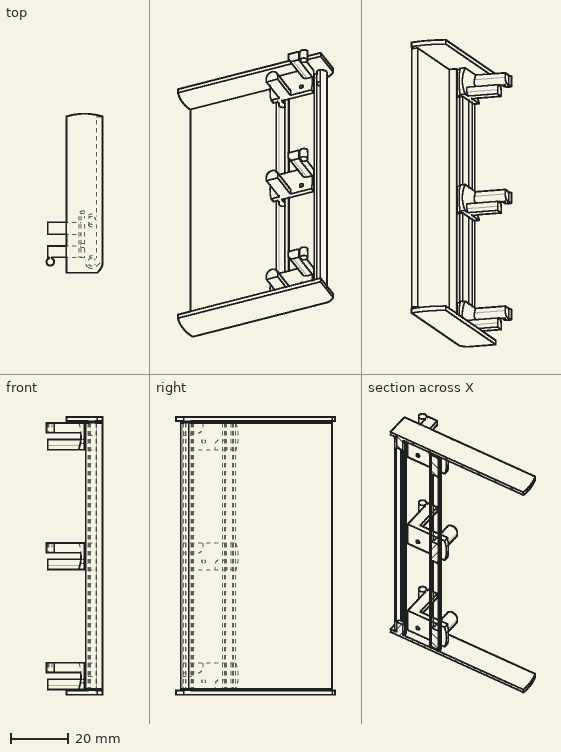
import cadquery as cq
import math

TOTAL_HEIGHT = 97.4
CAP_THICKNESS = 1.6
CAP_GAP = 0.6

CAP_LEFT = 7.0
RIGHT = 19.7
CAP_DEPTH = 55.8
CAP_CROWN = 1.0
CAP_CORNER_X = 1.9
CAP_CORNER_Y = 2.8
CAP_CORNER_RADIUS = 6.7
CAP_PIN_LENGTH = 5.0

PANEL_FACE = 17.4
PANEL_END = 54.7
PIN_RADIUS = 1.4
BARREL_RADIUS = 2.2
BARREL_X = PANEL_FACE - BARREL_RADIUS * math.sqrt(0.5)
HINGE_Y = 3.9
RAIL_Y = 18.5
HINGE_LIP_ANGLES = (-18, 69)
RAIL_LIP_ANGLES = (-66, 66)

BRACKET_COUNT = 3
BRACKET_PITCH = 42.0
BRACKET_HEIGHT = 9.4
BASE_BACK = 13.2
BASE_EDGE = 11.3
BASE_HOLLOW = 0.8
BASE_START = 5.5
BASE_END = 20.9
BASE_BULGE = 0.8
ARM_TIP = 0.4
ARM_WIDTH = 4.0
ARM_HEIGHT = 3.5
ARM_FILLET = 1.9
PEG_Y = 15.7
PEG_WIDTH = 4.3
PEG_HEIGHT = 3.7
HOOK_NECK_WIDTH = 1.0
BEAD_NECK_WIDTH = 1.6
SCREW_HOLE_DIAMETER = 1.4
SCREW_HOLE_Y = 9.6
SCREW_HOLE_Z = 3.0

PANEL_BOTTOM = CAP_THICKNESS + CAP_GAP
PANEL_TOP = TOTAL_HEIGHT - PANEL_BOTTOM
PANEL_HEIGHT = PANEL_TOP - PANEL_BOTTOM


def cylinder(x, y, radius, bottom, height):
    """Upright cylinder."""
    return cq.Workplane("XY", origin=(x, y, bottom)).circle(radius).extrude(height)


def block(x_range, y_range, z_range):
    """Axis-aligned box between pairs of limits."""
    size = [high - low for low, high in (x_range, y_range, z_range)]
    return cq.Workplane("XY").box(*size, centered=False).translate((x_range[0], y_range[0], z_range[0]))


def make_cap(plate_bottom, pin_bottom):
    """End plate with the hinge pin that enters the bore of the hinge barrel."""
    shoulder = CAP_DEPTH - CAP_CROWN
    plate = (
        cq.Workplane("XY", origin=(0, 0, plate_bottom))
        .moveTo(CAP_LEFT, 0)
        .lineTo(RIGHT - CAP_CORNER_X, 0)
        .radiusArc((RIGHT, CAP_CORNER_Y), -CAP_CORNER_RADIUS)
        .lineTo(RIGHT, shoulder)
        .threePointArc(((CAP_LEFT + RIGHT) / 2, CAP_DEPTH), (CAP_LEFT, shoulder))
        .close()
        .extrude(CAP_THICKNESS)
    )
    pin = cylinder(BARREL_X, HINGE_Y, PIN_RADIUS, pin_bottom, CAP_PIN_LENGTH)
    return plate.union(pin)


def barrel_point(y, radius, angle):
    """Point on a circle about a barrel axis, at an angle from -X toward +Y."""
    turn = math.radians(angle)
    return (BARREL_X - radius * math.cos(turn), y + radius * math.sin(turn))


def barrel_mouth(y, lip_angles):
    """Wedge that opens a barrel between two radial lip faces."""
    reach = 2 * BARREL_RADIUS
    low, high = lip_angles
    return (
        cq.Workplane("XY", origin=(0, 0, PANEL_BOTTOM))
        .moveTo(BARREL_X, y)
        .lineTo(*barrel_point(y, reach, low))
        .threePointArc(barrel_point(y, reach, (low + high) / 2), barrel_point(y, reach, high))
        .close()
        .extrude(PANEL_HEIGHT)
    )


def make_panel():
    """Flat panel with a hinge barrel on its bevelled edge and a round-lipped rail barrel."""
    bevel_run = RIGHT - PANEL_FACE
    bevel_start = HINGE_Y - BARREL_RADIUS * math.sqrt(0.5)
    panel = (
        cq.Workplane("XY", origin=(0, 0, PANEL_BOTTOM))
        .moveTo(PANEL_FACE, bevel_start)
        .lineTo(RIGHT, bevel_start + bevel_run)
        .lineTo(RIGHT, PANEL_END)
        .lineTo(PANEL_FACE, PANEL_END)
        .close()
        .extrude(PANEL_HEIGHT)
    )
    for y, lip_angles in ((HINGE_Y, HINGE_LIP_ANGLES), (RAIL_Y, RAIL_LIP_ANGLES)):
        barrel = cylinder(BARREL_X, y, BARREL_RADIUS, PANEL_BOTTOM, PANEL_HEIGHT)
        panel = panel.union(barrel.cut(barrel_mouth(y, lip_angles)))
        panel = panel.cut(cylinder(BARREL_X, y, PIN_RADIUS, PANEL_BOTTOM, PANEL_HEIGHT))

    lip_radius = (BARREL_RADIUS - PIN_RADIUS) / 2
    for angle in RAIL_LIP_ANGLES:
        x, y = barrel_point(RAIL_Y, PIN_RADIUS + lip_radius, angle)
        panel = panel.union(cylinder(x, y, lip_radius, PANEL_BOTTOM, PANEL_HEIGHT))
    return panel


def bracket_base():
    """Plate with a concave inner face and one bulged end."""
    middle = BRACKET_HEIGHT / 2
    section = (
        cq.Workplane("XZ")
        .moveTo(BASE_BACK, 0)
        .lineTo(BASE_BACK, BRACKET_HEIGHT)
        .lineTo(BASE_EDGE, BRACKET_HEIGHT)
        .threePointArc((BASE_EDGE + BASE_HOLLOW, middle), (BASE_EDGE, 0))
        .close()
        .extrude(-(BASE_END + BASE_BULGE))
    )
    outline = (
        cq.Workplane("YZ")
        .moveTo(BASE_START, 0)
        .lineTo(BASE_END, 0)
        .threePointArc((BASE_END + BASE_BULGE, middle), (BASE_END, BRACKET_HEIGHT))
        .lineTo(BASE_START, BRACKET_HEIGHT)
        .close()
        .extrude(BASE_BACK)
    )
    return section.intersect(outline)


def bracket_arm():
    """Upper arm with a round bead on a thin neck at its tip."""
    z_range = (BRACKET_HEIGHT - ARM_HEIGHT, BRACKET_HEIGHT)
    arm = block((ARM_TIP, BASE_BACK), (BASE_START, BASE_START + ARM_WIDTH), z_range)
    arm = arm.edges("|X and >Y and <Z").fillet(ARM_FILLET)
    bead_x = PIN_RADIUS
    half_neck = HOOK_NECK_WIDTH / 2
    neck = block((bead_x - half_neck, bead_x + half_neck), (HINGE_Y, BASE_START), z_range)
    return arm.union(neck).union(cylinder(bead_x, HINGE_Y, PIN_RADIUS, z_range[0], ARM_HEIGHT))


def bracket_peg():
    """Lower arm with a half-round top and a flat underside."""
    radius = PEG_WIDTH / 2
    shoulder = PEG_HEIGHT - radius
    return (
        cq.Workplane("YZ", origin=(ARM_TIP, 0, 0))
        .moveTo(PEG_Y - radius, 0)
        .lineTo(PEG_Y + radius, 0)
        .lineTo(PEG_Y + radius, shoulder)
        .threePointArc((PEG_Y, PEG_HEIGHT), (PEG_Y - radius, shoulder))
        .close()
        .extrude(BASE_BACK - ARM_TIP)
    )


def bracket_rail_bead():
    """Round bead that sits in the rail, joined to the base by a neck."""
    half_neck = BEAD_NECK_WIDTH / 2
    y_range = (RAIL_Y - half_neck, RAIL_Y + half_neck)
    neck = block((BASE_BACK, BARREL_X), y_range, (0, BRACKET_HEIGHT))
    return neck.union(cylinder(BARREL_X, RAIL_Y, PIN_RADIUS, 0, BRACKET_HEIGHT))


def make_bracket(bottom):
    """Clip bracket with its underside at the given height."""
    bracket = bracket_base().union(bracket_arm()).union(bracket_peg()).union(bracket_rail_bead())
    screw_hole = (
        cq.Workplane("YZ")
        .center(SCREW_HOLE_Y, SCREW_HOLE_Z)
        .circle(SCREW_HOLE_DIAMETER / 2)
        .extrude(BASE_BACK)
    )
    return bracket.cut(screw_hole).translate((0, 0, bottom))


bottom_cap = make_cap(0, CAP_THICKNESS)
top_plate_bottom = TOTAL_HEIGHT - CAP_THICKNESS
top_cap = make_cap(top_plate_bottom, top_plate_bottom - CAP_PIN_LENGTH)
panel = make_panel()

top_bracket_bottom = PANEL_TOP - BRACKET_HEIGHT
brackets = [make_bracket(top_bracket_bottom - i * BRACKET_PITCH) for i in range(BRACKET_COUNT)]

result = cq.Compound.makeCompound(
    [bottom_cap.val(), top_cap.val(), panel.val(), *[bracket.val() for bracket in brackets]]
)